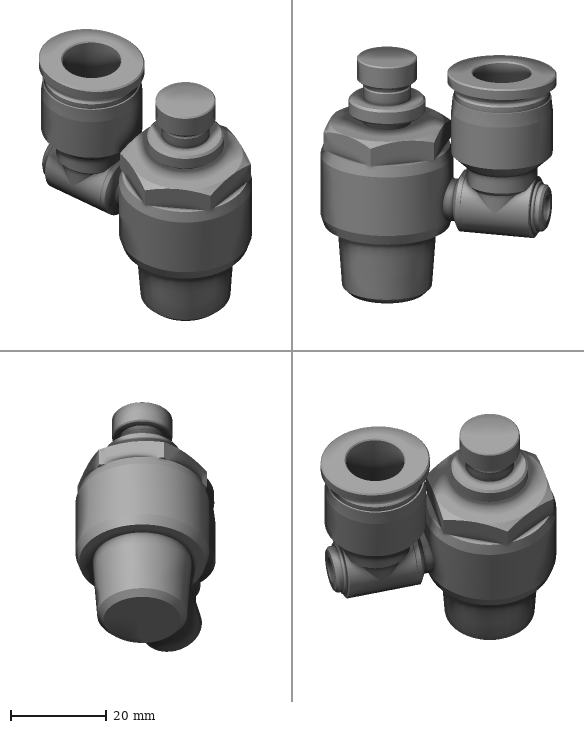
import cadquery as cq
import math

body_radius = 14.0
body_end_radius = 13.25
body_bottom = 15.1
body_top = 32.7
body_bevel_height = 2.25
thread_tip_radius = 9.45
thread_root_radius = 10.45
thread_chamfer = 1.3

hex_across_flats = 24.0
hex_top = 37.7
hex_bevel_angle = 30

stem_radius = 5.05
stem_top = 45.95
stem_chamfer = 0.2
lock_nut_radius = 8.05
lock_nut_bottom = 39.7
lock_nut_top = 43.15
lock_nut_chamfer = 0.45
knob_neck_radius = 4.65
knob_radius = 6.3
knob_bottom = 47.25
knob_top = 52.2
knob_chamfer = 0.25

socket_x = -24.9
socket_neck_radius = 7.45
socket_neck_bottom = 26.75
socket_neck_top = 30.35
socket_radius = 10.65
socket_cone_top = 33.3
socket_straight_top = 42.7
socket_taper_top = 45.75
socket_taper_radius = 10.35
socket_cap_radius = 10.0
socket_cap_top = 47.25
socket_cap_chamfer = 0.3
bore_radius = 6.15
bore_chamfer = 0.25

collar_half_length = 11.55
collar_half_width = 10.35
collar_bottom = 48.8
collar_top = 51.1
collar_chamfer = 0.3

elbow_z = 21.55
elbow_radius = 6.5
elbow_left = -32.35
elbow_right = socket_x + socket_neck_radius
elbow_edge_chamfer = 0.15
elbow_flange_end = -16.45
elbow_pipe_radius = 4.5
elbow_cone_end = -15.25
end_plug_radius = 4.95
end_plug_left = -34.6
end_plug_chamfer = 0.5
ring_radius = 5.55
ring_width = 0.8
plug_hole_radius = 2.75
plug_hole_depth = 2.05


def turned_about_z(outline, x=0.0):
    """Solid turned about a vertical axis at x, from (radius, z) points."""
    profile = cq.Workplane("XZ").polyline([(0, outline[0][1])] + outline + [(0, outline[-1][1])]).close()
    return profile.revolve(360, (0, 0, 0), (0, 1, 0)).translate((x, 0, 0))


def turned_about_elbow_axis(outline):
    """Solid turned about the elbow axis, from (x, radius) points."""
    profile = cq.Workplane("XZ").polyline([(outline[0][0], 0)] + outline + [(outline[-1][0], 0)]).close()
    return profile.revolve(360, (0, 0, 0), (1, 0, 0)).translate((0, 0, elbow_z))


def make_valve_body():
    return turned_about_z([
        (thread_tip_radius - thread_chamfer, 0),
        (thread_tip_radius, thread_chamfer),
        (thread_root_radius, body_bottom),
        (body_end_radius, body_bottom),
        (body_radius, body_bottom + body_bevel_height),
        (body_radius, body_top - body_bevel_height),
        (body_end_radius, body_top),
    ])


def make_hex_head():
    corner_radius = hex_across_flats / math.sqrt(3)
    flat_radius = hex_across_flats / 2
    bevel_drop = (corner_radius - flat_radius) * math.tan(math.radians(hex_bevel_angle))
    prism = (
        cq.Workplane("XY", origin=(0, 0, body_top))
        .polygon(6, 2 * corner_radius)
        .extrude(hex_top - body_top)
        .rotate((0, 0, 0), (0, 0, 1), 30)
    )
    bevel_limit = turned_about_z([
        (corner_radius, body_top),
        (corner_radius, hex_top - bevel_drop),
        (flat_radius, hex_top),
    ])
    return prism.intersect(bevel_limit)


def make_stem():
    return turned_about_z([
        (stem_radius, hex_top),
        (stem_radius, lock_nut_bottom),
        (lock_nut_radius - lock_nut_chamfer, lock_nut_bottom),
        (lock_nut_radius, lock_nut_bottom + lock_nut_chamfer),
        (lock_nut_radius, lock_nut_top - lock_nut_chamfer),
        (lock_nut_radius - lock_nut_chamfer, lock_nut_top),
        (stem_radius, lock_nut_top),
        (stem_radius, stem_top - stem_chamfer),
        (stem_radius - stem_chamfer, stem_top),
        (knob_neck_radius, stem_top),
        (knob_neck_radius, knob_bottom),
        (knob_radius - knob_chamfer, knob_bottom),
        (knob_radius, knob_bottom + knob_chamfer),
        (knob_radius, knob_top - knob_chamfer),
        (knob_radius - knob_chamfer, knob_top),
    ])


def make_socket():
    neck_step = socket_neck_radius - elbow_radius
    return turned_about_z([
        (elbow_radius, elbow_z),
        (elbow_radius, socket_neck_bottom - neck_step),
        (socket_neck_radius, socket_neck_bottom),
        (socket_neck_radius, socket_neck_top),
        (socket_radius, socket_cone_top),
        (socket_radius, socket_straight_top),
        (socket_taper_radius, socket_taper_top),
        (socket_cap_radius, socket_taper_top),
        (socket_cap_radius, socket_cap_top - socket_cap_chamfer),
        (socket_cap_radius - socket_cap_chamfer, socket_cap_top),
        (socket_neck_radius, socket_cap_top),
        (socket_neck_radius, collar_bottom),
    ], socket_x)


def make_collar():
    return (
        cq.Workplane("XY", origin=(socket_x, 0, collar_bottom))
        .ellipse(collar_half_length, collar_half_width)
        .extrude(collar_top - collar_bottom)
        .faces(">Z")
        .edges()
        .chamfer(collar_chamfer)
    )


def make_bore():
    """Tube bore, running from the collar down to the end of the straight socket wall."""
    return turned_about_z([
        (bore_radius, socket_cone_top),
        (bore_radius, collar_top - bore_chamfer),
        (bore_radius + bore_chamfer, collar_top),
    ], socket_x)


def make_elbow():
    """Elbow from its end plug to the body axis, with a fine groove before its right flange."""
    return turned_about_elbow_axis([
        (end_plug_left, end_plug_radius - end_plug_chamfer),
        (end_plug_left + end_plug_chamfer, end_plug_radius),
        (elbow_left, end_plug_radius),
        (elbow_left, elbow_radius - elbow_edge_chamfer),
        (elbow_left + elbow_edge_chamfer, elbow_radius),
        (elbow_right - elbow_edge_chamfer, elbow_radius),
        (elbow_right, elbow_radius - elbow_edge_chamfer),
        (elbow_right, elbow_radius),
        (elbow_flange_end, elbow_radius),
        (elbow_cone_end, elbow_pipe_radius),
        (0, elbow_pipe_radius),
    ])


def make_seal_ring():
    """Ring with a half-round outer edge, against the left end of the elbow."""
    ring_left = elbow_left - ring_width
    straight_radius = ring_radius - ring_width / 2
    profile = (
        cq.Workplane("XZ")
        .moveTo(ring_left, 0)
        .lineTo(ring_left, straight_radius)
        .threePointArc((ring_left + ring_width / 2, ring_radius), (elbow_left, straight_radius))
        .lineTo(elbow_left, 0)
        .close()
    )
    return profile.revolve(360, (0, 0, 0), (1, 0, 0)).translate((0, 0, elbow_z))


def make_plug_hole():
    return turned_about_elbow_axis([
        (end_plug_left, plug_hole_radius),
        (end_plug_left + plug_hole_depth, plug_hole_radius),
    ])


result = make_valve_body()
for piece in (make_hex_head(), make_stem(), make_socket(), make_collar(), make_elbow(), make_seal_ring()):
    result = result.union(piece)
result = result.cut(make_bore()).cut(make_plug_hole())